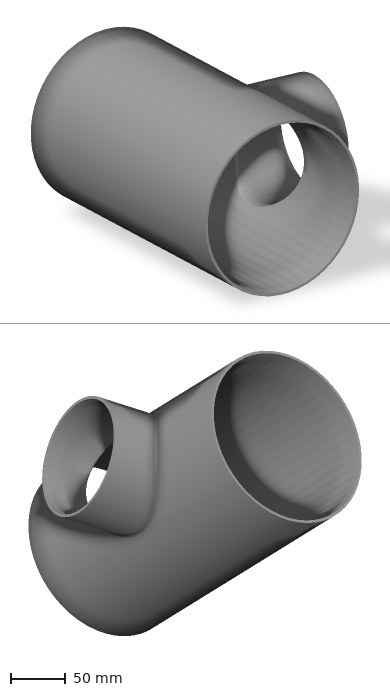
import cadquery as cq

run_length = 286.0
run_outer_diameter = 168.2
run_bore_diameter = 163.0

branch_outer_diameter = 114.5
branch_bore_diameter = 109.0
branch_reach = 130.0

outer_seam_radius = 3.0
inner_seam_radius = 3.0


def run_cylinder(diameter):
    """Solid cylinder along X, centred on the origin."""
    return cq.Workplane("YZ").circle(diameter / 2).extrude(run_length / 2, both=True)


def branch_cylinder(diameter):
    """Solid cylinder from the main pipe axis along +Y to the branch mouth."""
    return cq.Workplane("XZ").circle(diameter / 2).extrude(-branch_reach)


def tee(run_diameter, branch_diameter, seam_radius):
    """Solid tee of the two cylinders, with the seam between them rounded."""
    body = run_cylinder(run_diameter).union(branch_cylinder(branch_diameter))
    seam = cq.selectors.BoxSelector(
        (-branch_diameter, 0, -branch_diameter),
        (branch_diameter, run_diameter / 2, branch_diameter),
    )
    return body.edges(seam).fillet(seam_radius)


outside = tee(run_outer_diameter, branch_outer_diameter, outer_seam_radius)
inside = tee(run_bore_diameter, branch_bore_diameter, inner_seam_radius)

result = outside.cut(inside)